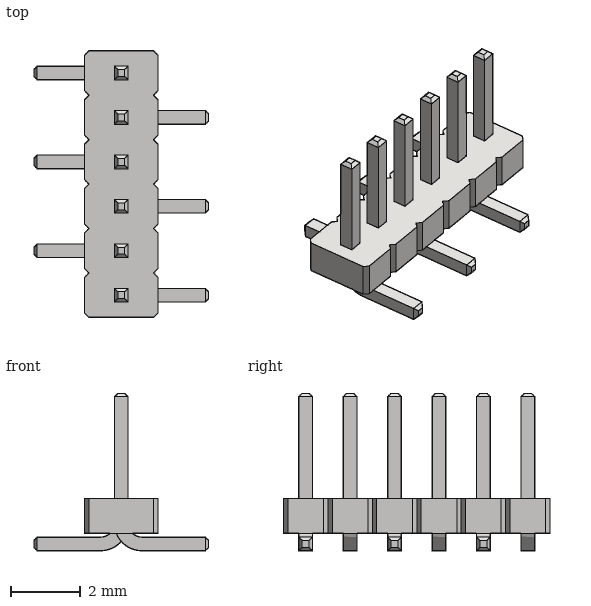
import cadquery as cq

pin_count = 6
row_length = 7.62
pitch = row_length / pin_count

body_width = 2.1
body_height = 1.0
body_bottom = 0.5
body_corner = pitch / 10

pin_size = 0.4
pin_top = 4.5
foot_span = 5.0
foot_reach = foot_span / 2
bend_inner_radius = pin_size
bend_outer_radius = bend_inner_radius + pin_size
tip_chamfer = pin_size / 4


def body_segment(y):
    """One pitch-long block; its cut corners form the notches between neighbours."""
    return (
        cq.Workplane("XY", origin=(0, y, body_bottom))
        .rect(body_width, pitch)
        .extrude(body_height)
        .edges("|Z")
        .chamfer(body_corner)
    )


def right_pin():
    """L-shaped pin centred on Y = 0 with its foot pointing along +X."""
    half = pin_size / 2
    bend_center_x = bend_outer_radius - half
    return (
        cq.Workplane("XZ")
        .moveTo(-half, pin_top)
        .lineTo(-half, bend_outer_radius)
        .radiusArc((bend_center_x, 0), -bend_outer_radius)
        .lineTo(foot_reach, 0)
        .lineTo(foot_reach, pin_size)
        .lineTo(bend_center_x, pin_size)
        .radiusArc((half, bend_outer_radius), bend_inner_radius)
        .lineTo(half, pin_top)
        .close()
        .extrude(half, both=True)
        .faces(">Z or >X")
        .chamfer(tip_chamfer)
    )


pin_to_right = right_pin()
pin_to_left = pin_to_right.mirror("YZ")

result = cq.Workplane("XY")
for index in range(pin_count):
    y = (index - (pin_count - 1) / 2) * pitch
    pin = pin_to_right if index % 2 == 0 else pin_to_left
    result = result.union(body_segment(y)).union(pin.translate((0, y, 0)))